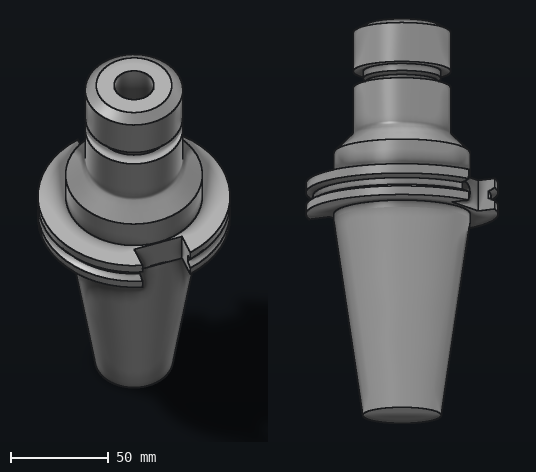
import cadquery as cq
import math

total_height = 203.2
taper_ratio = 7 / 24
gauge_height = 101.5
gauge_radius = 35.0
taper_end_radius = gauge_radius - gauge_height * taper_ratio / 2

flange_radius = 49.2
flange_bottom = 105.0
flange_thickness = 16.0
flange_top = flange_bottom + flange_thickness
groove_radius = 45.5
groove_bottom_edge = 109.5
groove_top_edge = 116.2
groove_wall_height = 1.6

shoulder_top = 137.0
body_radius = 25.0
body_top = 171.0
blend_radius = 4.0
cone_angle = math.radians(45)
blend_width = blend_radius * (1 - math.cos(cone_angle))
cone_top_radius = body_radius + blend_width
cone_top = shoulder_top + (gauge_radius - cone_top_radius) * math.tan(cone_angle)
blend_top = cone_top + blend_radius * math.sin(cone_angle)
half_angle = cone_angle / 2
blend_middle = (
    body_radius + blend_radius * (1 - math.cos(half_angle)),
    blend_top - blend_radius * math.sin(half_angle),
)

neck_radius = 18.7
neck_top = 174.1
collar_radius = 20.0
collar_bottom = 176.0
nut_radius = body_radius
nut_bottom = 179.6
nut_chamfer_height = 3.3
nut_face_radius = 19.3

bore_radius = 10.2
bore_depth = 40.6

slot_width = 26.0
left_slot_floor = 37.5
right_slot_floor = 35.4

dimple_radius = 4.9
dimple_depth = 6.0


def turned_body():
    """Revolve the complete outer profile about Z."""
    profile = (
        cq.Workplane("XZ")
        .moveTo(0, 0)
        .lineTo(taper_end_radius, 0)
        .lineTo(gauge_radius, gauge_height)
        .lineTo(gauge_radius, flange_bottom)
        .lineTo(flange_radius, flange_bottom)
        .lineTo(flange_radius, groove_bottom_edge)
        .lineTo(groove_radius, groove_bottom_edge + groove_wall_height)
        .lineTo(groove_radius, groove_top_edge - groove_wall_height)
        .lineTo(flange_radius, groove_top_edge)
        .lineTo(flange_radius, flange_top)
        .lineTo(gauge_radius, flange_top)
        .lineTo(gauge_radius, shoulder_top)
        .lineTo(cone_top_radius, cone_top)
        .threePointArc(blend_middle, (body_radius, blend_top))
        .lineTo(body_radius, body_top)
        .lineTo(neck_radius, body_top)
        .lineTo(neck_radius, neck_top)
        .lineTo(collar_radius, collar_bottom)
        .lineTo(collar_radius, nut_bottom)
        .lineTo(nut_radius, nut_bottom)
        .lineTo(nut_radius, total_height - nut_chamfer_height)
        .lineTo(nut_face_radius, total_height)
        .lineTo(0, total_height)
        .close()
    )
    return profile.revolve(360, (0, 0), (0, 1))


def drive_slot(side, floor):
    """Cutter for one drive slot; side is -1 for -X and 1 for +X."""
    return (
        cq.Workplane("XY", origin=(side * (floor + flange_radius / 2), 0, flange_bottom))
        .box(flange_radius, slot_width, flange_thickness, centered=(True, True, False))
    )


def nose_bore():
    return (
        cq.Workplane("XY", origin=(0, 0, total_height - bore_depth))
        .circle(bore_radius)
        .extrude(bore_depth)
    )


def slot_dimple():
    flange_middle = flange_bottom + flange_thickness / 2
    return (
        cq.Workplane("YZ", origin=(-left_slot_floor, 0, flange_middle))
        .circle(dimple_radius)
        .extrude(dimple_depth)
    )


result = (
    turned_body()
    .cut(drive_slot(-1, left_slot_floor))
    .cut(drive_slot(1, right_slot_floor))
    .cut(nose_bore())
    .cut(slot_dimple())
)